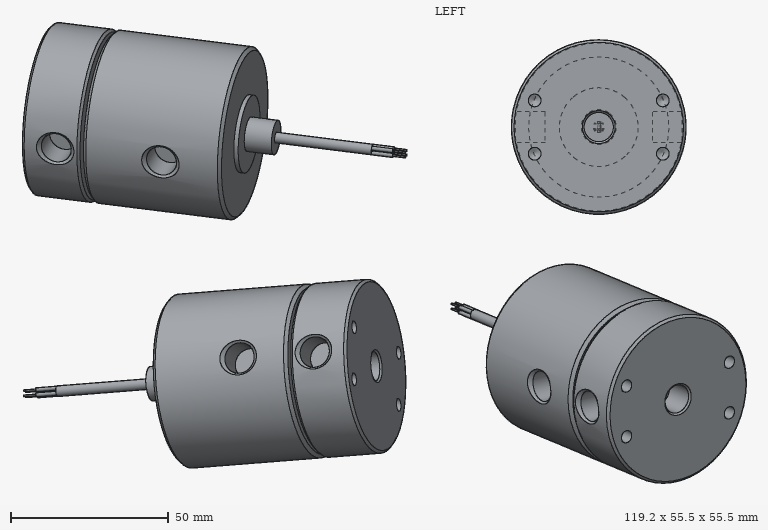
import cadquery as cq
import math

head_end = 19.1
body_start = 20.1
body_end = 65.8
flange_end = 67.2
gland_end = 76.2
sheath_end = 108.1
insulation_end = 115.0
total_length = 119.2

outer_diameter = 55.5
neck_diameter = 44.6
flange_diameter = 25.0
gland_diameter = 11.1
sheath_diameter = 3.5
head_chamfer = 0.8
body_chamfer = 1.1

port_diameter = 9.9
port_mouth_diameter = 12.4
port_depth = 10.7
front_port_diameter = 9.3
front_port_mouth_diameter = 10.5
head_port_x = 11.1
right_body_port_x = 45.9
left_body_port_x = 36.6

mount_diameter = 4.0
mount_depth = 8.3
mount_half_spacing_y = 20.4
mount_half_spacing_z = 8.5
drill_tip_angle = 118.0

core_offset_y = 0.77
core_offset_z = 0.8
insulation_diameter = 1.3
wire_diameter = 0.6


def rod(diameter, start, end, y=0.0, z=0.0):
    """Cylinder along X from start to end, centred on (y, z)."""
    axis_start = cq.Vector(start, y, z)
    return cq.Workplane(cq.Solid.makeCylinder(diameter / 2, end - start, axis_start, cq.Vector(1, 0, 0)))


def port(diameter, mouth_diameter, mouth, inward):
    """Flat-bottomed bore with a 45 degree countersunk mouth."""
    sink_depth = (mouth_diameter - diameter) / 2
    bore = cq.Solid.makeCylinder(diameter / 2, port_depth, mouth, inward)
    sink = cq.Solid.makeCone(mouth_diameter / 2, diameter / 2, sink_depth, mouth, inward)
    return cq.Workplane(bore.fuse(sink))


def mount_hole(y, z):
    """Blind drilled hole with a conical tip."""
    radius = mount_diameter / 2
    tip_length = radius / math.tan(math.radians(drill_tip_angle / 2))
    tip_base = cq.Vector(mount_depth, y, z)
    tip = cq.Solid.makeCone(radius, 0, tip_length, tip_base, cq.Vector(1, 0, 0))
    return rod(mount_diameter, 0, mount_depth, y, z).union(cq.Workplane(tip))


head = rod(outer_diameter, 0, head_end).edges().chamfer(head_chamfer)
body = rod(outer_diameter, body_start, body_end).edges().chamfer(body_chamfer)
result = head.union(body)
result = result.union(rod(neck_diameter, head_end, body_start))
result = result.union(rod(flange_diameter, body_end, flange_end))
result = result.union(rod(gland_diameter, flange_end, gland_end))
result = result.union(rod(sheath_diameter, gland_end, sheath_end))

for side_y in (-1, 1):
    for side_z in (-1, 1):
        y = side_y * core_offset_y
        z = side_z * core_offset_z
        result = result.union(rod(insulation_diameter, sheath_end, insulation_end, y, z))
        result = result.union(rod(wire_diameter, insulation_end, total_length, y, z))

side_ports = [
    (-1, head_port_x),
    (-1, right_body_port_x),
    (1, head_port_x),
    (1, left_body_port_x),
]
for side, x in side_ports:
    mouth = cq.Vector(x, side * outer_diameter / 2, 0)
    result = result.cut(port(port_diameter, port_mouth_diameter, mouth, cq.Vector(0, -side, 0)))
front_center = cq.Vector(0, 0, 0)
rearward = cq.Vector(1, 0, 0)
result = result.cut(port(front_port_diameter, front_port_mouth_diameter, front_center, rearward))

for side_y in (-1, 1):
    for side_z in (-1, 1):
        result = result.cut(mount_hole(side_y * mount_half_spacing_y, side_z * mount_half_spacing_z))